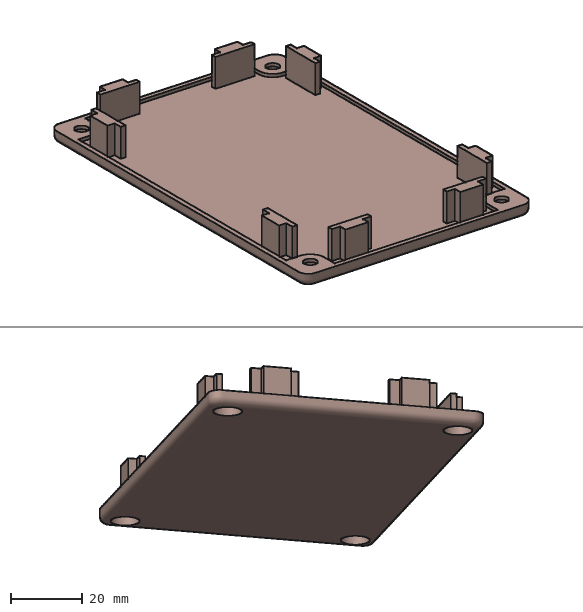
import cadquery as cq

length = 120.0
width = 80.0
plate_thickness = 4.1
corner_radius = 3.5
bottom_edge_radius = 2.0

rim_width = 1.7
recess_depth = 1.1
floor_level = plate_thickness - recess_depth

hole_diameter = 4.2
hole_inset = 6.5
counterbore_diameter = 8.2
counterbore_depth = 3.0
lug_radius = 4.9

total_height = 13.0
clip_inset = 2.5
clip_corner_distance = 13.0
clip_length = 13.8
clip_plate_thickness = 1.7
web_length = 8.0
clip_depth = 4.2

hole_x = length / 2 - hole_inset
hole_y = width / 2 - hole_inset
hole_centers = [(x, y) for x in (-hole_x, hole_x) for y in (-hole_y, hole_y)]


def make_plate():
    """Flat plate with rounded corners and a rounded bottom edge."""
    plate = cq.Workplane("XY").box(length, width, plate_thickness, centered=(True, True, False))
    plate = plate.edges("|Z").fillet(corner_radius)
    return plate.faces("<Z").edges().fillet(bottom_edge_radius)


def make_lugs():
    """Corner blocks, rounded around the hole axis, that stay at full plate thickness."""
    lug_size = hole_inset + lug_radius
    lug_x = (length - lug_size) / 2
    lug_y = (width - lug_size) / 2
    lugs = cq.Workplane("XY", origin=(0, 0, floor_level))
    lugs = lugs.rarray(2 * lug_x, 2 * lug_y, 2, 2).rect(lug_size, lug_size).extrude(recess_depth)
    inner_x = length / 2 - lug_size
    inner_y = width / 2 - lug_size
    for x in (-inner_x, inner_x):
        for y in (-inner_y, inner_y):
            inner_edge = cq.selectors.NearestToPointSelector((x, y, floor_level + recess_depth / 2))
            lugs = lugs.edges(inner_edge).fillet(lug_radius)
    return lugs


def make_recess():
    """Material removed from the top face between the rim and the lugs."""
    recess = (
        cq.Workplane("XY", origin=(0, 0, floor_level))
        .rect(length - 2 * rim_width, width - 2 * rim_width)
        .extrude(recess_depth)
    )
    return recess.cut(make_lugs())


def make_clip(side_length, edge_distance, end):
    """One clip near the given end (-1 or 1) of a side that runs along X at +Y."""
    center_x = end * (side_length / 2 - clip_corner_distance - clip_length / 2)
    outer_y = edge_distance - clip_inset
    inner_y = outer_y - clip_depth
    height = total_height - floor_level
    base = cq.Workplane("XY", origin=(center_x, inner_y, floor_level))
    clip_plate = base.box(clip_length, clip_plate_thickness, height, centered=(True, False, False))
    web = base.box(web_length, clip_depth, height, centered=(True, False, False))
    return clip_plate.union(web)


def make_screw_holes():
    """Through holes with a wide counterbore from the bottom face."""
    centers = cq.Workplane("XY").pushPoints(hole_centers)
    holes = centers.circle(hole_diameter / 2).extrude(plate_thickness)
    counterbores = centers.circle(counterbore_diameter / 2).extrude(counterbore_depth)
    return holes.union(counterbores)


result = make_plate().cut(make_recess()).cut(make_screw_holes())

sides = [(0, length, width), (90, width, length), (180, length, width), (270, width, length)]
for angle, side_length, span in sides:
    for end in (-1, 1):
        clip = make_clip(side_length, span / 2, end)
        result = result.union(clip.rotate((0, 0, 0), (0, 0, 1), angle))